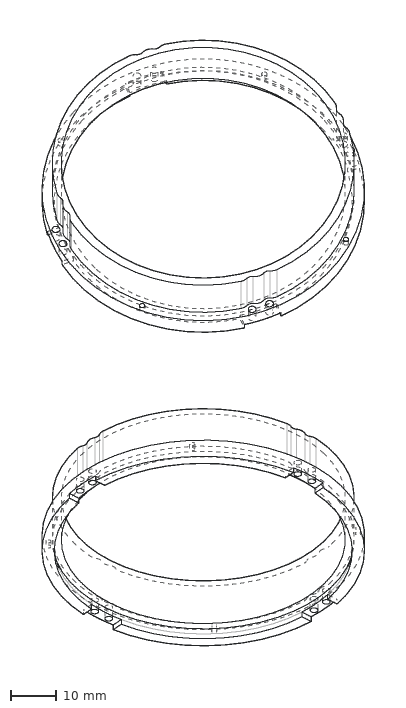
import cadquery as cq
import math

flange_radius = 35.8
bore_radius = 31.5
wall_radius = 33.5
total_height = 14.75
flange_height = 4.45

rim_radius = 33.1
rim_height = 1.3
flare_radius = 33.5
recess_depth = 3.0

screw_hole_diameter = 1.7
screw_half_spacing = 2.1
screw_offset = 34.4
scallop_radius = 1.6
blend_radius = 2.6

pin_hole_diameter = 1.15
pin_circle_radius = 34.45

notch_width = 8.7
notch_height = 1.3

side_angles = [0, 90, 180, 270]
diagonal_angles = [45, 135, 225, 315]


def cylinder(radius, bottom, height):
    return cq.Workplane("XY").workplane(offset=bottom).circle(radius).extrude(height)


def point_between(start, end, distance):
    """Point at a given distance from start toward end."""
    fraction = distance / math.dist(start, end)
    return (
        start[0] + fraction * (end[0] - start[0]),
        start[1] + fraction * (end[1] - start[1]),
    )


def mirrored(point):
    return (-point[0], point[1])


def arc_middle(center, start, end):
    """Middle point of the short arc about center from start to end."""
    chord_middle = ((start[0] + end[0]) / 2, (start[1] + end[1]) / 2)
    return point_between(center, chord_middle, math.dist(center, start))


def recess_cutter():
    """Undercut recess revolved about the ring axis."""
    return (
        cq.Workplane("XZ")
        .polyline(
            [
                (0, 0),
                (rim_radius, 0),
                (rim_radius, rim_height),
                (flare_radius, recess_depth),
                (0, recess_depth),
            ]
        )
        .close()
        .revolve(360, (0, 0, 0), (0, 1, 0))
    )


def scallop_cutter():
    """Pair of scallops on the +Y side, blended into each other and into the wall."""
    screw = (screw_half_spacing, screw_offset)
    center_distance = scallop_radius + blend_radius

    middle_center_y = screw_offset - math.sqrt(center_distance**2 - screw_half_spacing**2)
    middle_center = (0, middle_center_y)
    middle_top = (0, middle_center_y + blend_radius)
    inner_tangent = point_between(screw, middle_center, scallop_radius)

    blend_orbit = wall_radius - blend_radius
    screw_distance = math.hypot(*screw)
    cosine = (blend_orbit**2 + screw_distance**2 - center_distance**2) / (2 * blend_orbit * screw_distance)
    blend_angle = math.atan2(screw[0], screw[1]) + math.acos(cosine)
    outer_center = (blend_orbit * math.sin(blend_angle), blend_orbit * math.cos(blend_angle))
    outer_tangent = point_between(screw, outer_center, scallop_radius)
    wall_tangent = (wall_radius * math.sin(blend_angle), wall_radius * math.cos(blend_angle))

    scallop_bottom = point_between(screw, (0, 0), scallop_radius)
    outer_middle = arc_middle(outer_center, outer_tangent, wall_tangent)
    return (
        cq.Workplane("XY")
        .workplane(offset=flange_height)
        .moveTo(*mirrored(wall_tangent))
        .threePointArc(mirrored(outer_middle), mirrored(outer_tangent))
        .threePointArc(mirrored(scallop_bottom), mirrored(inner_tangent))
        .threePointArc(middle_top, inner_tangent)
        .threePointArc(scallop_bottom, outer_tangent)
        .threePointArc(outer_middle, wall_tangent)
        .lineTo(wall_tangent[0], flange_radius)
        .lineTo(-wall_tangent[0], flange_radius)
        .close()
        .extrude(total_height - flange_height)
    )


def screw_hole_cutter():
    """Two through holes in the flange on the +Y side."""
    return (
        cq.Workplane("XY")
        .pushPoints([(-screw_half_spacing, screw_offset), (screw_half_spacing, screw_offset)])
        .circle(screw_hole_diameter / 2)
        .extrude(flange_height)
    )


def notch_cutter():
    """Straight-sided notch through the lower rim on the +Y side."""
    return cq.Workplane("XY").box(
        notch_width, flange_radius, notch_height, centered=(True, False, False)
    ).translate((0, bore_radius / 2, 0))


def pin_hole_cutter():
    """Blind hole from the flange face down to the level of the recess roof."""
    return cylinder(pin_hole_diameter / 2, recess_depth, flange_height - recess_depth).translate(
        (pin_circle_radius, 0, 0)
    )


def turned(cutter, angle):
    return cutter.rotate((0, 0, 0), (0, 0, 1), angle)


result = cylinder(flange_radius, 0, flange_height).union(cylinder(wall_radius, 0, total_height))
result = result.cut(cylinder(bore_radius, 0, total_height))
result = result.cut(recess_cutter())

for angle in side_angles:
    for cutter in (scallop_cutter(), screw_hole_cutter(), notch_cutter()):
        result = result.cut(turned(cutter, angle))

for angle in diagonal_angles:
    result = result.cut(turned(pin_hole_cutter(), angle))